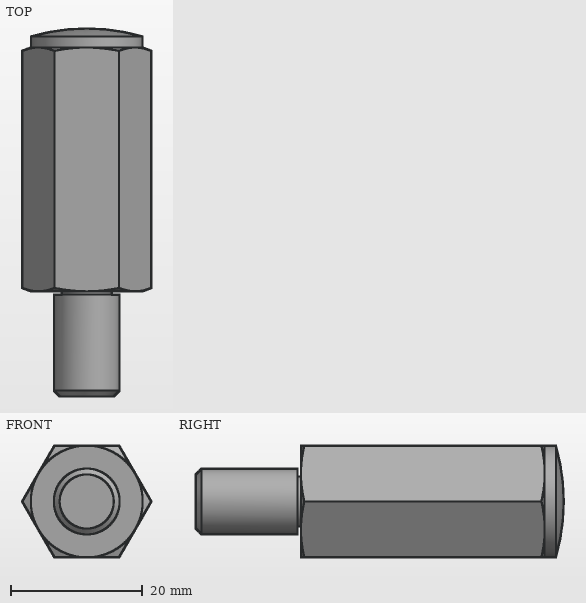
import cadquery as cq
import math

total_length = 56.0
stud_length = 16.0
neck_length = 0.5
cap_band_length = 1.7
dome_height = 1.25
hex_length = total_length - stud_length - cap_band_length - dome_height

across_flats = 17.0
across_corners = across_flats / math.cos(math.radians(30))
stud_diameter = 10.0
neck_diameter = 7.7
tip_chamfer = 0.9
corner_chamfer_depth = 0.5

flat_radius = across_flats / 2
corner_radius = across_corners / 2
stud_radius = stud_diameter / 2
neck_radius = neck_diameter / 2
tip_y = -stud_length
band_end_y = hex_length + cap_band_length
dome_top_y = band_end_y + dome_height


def revolve_about_y(profile):
    """Turn a closed XY profile a full turn about the Y axis."""
    return profile.close().revolve(360, (0, 0, 0), (0, 1, 0))


def hex_body():
    """Hexagonal bar with corners on X, both ends turned to a shallow cone."""
    bar = (
        cq.Workplane("XZ")
        .polygon(6, across_corners)
        .extrude(-hex_length)
    )
    turned_envelope = revolve_about_y(
        cq.Workplane("XY")
        .lineTo(flat_radius, 0)
        .lineTo(corner_radius, corner_chamfer_depth)
        .lineTo(corner_radius, hex_length - corner_chamfer_depth)
        .lineTo(flat_radius, hex_length)
        .lineTo(0, hex_length)
    )
    return bar.intersect(turned_envelope)


def stud():
    """Round stud with a chamfered tip and a narrow neck at the shoulder."""
    return revolve_about_y(
        cq.Workplane("XY")
        .lineTo(neck_radius, 0)
        .lineTo(neck_radius, -neck_length)
        .lineTo(stud_radius, -neck_length)
        .lineTo(stud_radius, tip_y + tip_chamfer)
        .lineTo(stud_radius - tip_chamfer, tip_y)
        .lineTo(0, tip_y)
    )


def domed_cap():
    """Cylindrical band closed by a shallow spherical dome."""
    sphere_radius = (flat_radius**2 + dome_height**2) / (2 * dome_height)
    mid_radius = flat_radius / 2
    mid_y = dome_top_y - sphere_radius + math.sqrt(sphere_radius**2 - mid_radius**2)
    return revolve_about_y(
        cq.Workplane("XY")
        .moveTo(0, hex_length)
        .lineTo(flat_radius, hex_length)
        .lineTo(flat_radius, band_end_y)
        .threePointArc((mid_radius, mid_y), (0, dome_top_y))
    )


result = hex_body().union(stud()).union(domed_cap())